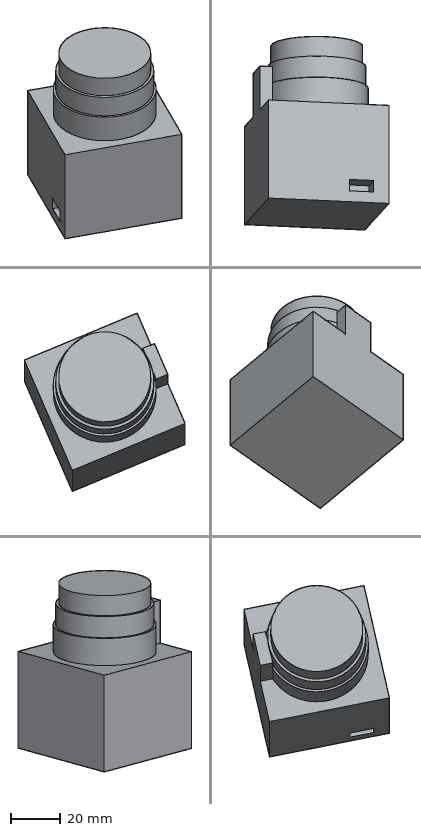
import cadquery as cq

body_side = 50.0
body_height = 41.0

lower_diameter = 42.0
lower_height = 11.5
middle_diameter = 40.0
middle_height = 9.0
total_height = 70.0
upper_diameter = 37.5
upper_height = total_height - body_height - lower_height - middle_height
head_steps = [
    (lower_diameter, lower_height),
    (middle_diameter, middle_height),
    (upper_diameter, upper_height),
]

tab_width = 14.0
tab_height = 18.2
tab_inner_x = -((lower_diameter / 2) ** 2 - (tab_width / 2) ** 2) ** 0.5

window_width = 10.0
window_height = 4.8
window_depth = 10.0
window_center_x = 13.6
window_bottom = 4.5


def make_body():
    return cq.Workplane("XY").box(body_side, body_side, body_height, centered=(True, True, False))


def add_head(part):
    base = body_height
    for diameter, height in head_steps:
        step = cq.Workplane("XY").workplane(offset=base).circle(diameter / 2).extrude(height)
        part = part.union(step)
        base += height
    return part


def make_tab():
    tab_thickness = body_side / 2 + tab_inner_x
    tab = cq.Workplane("XY").box(tab_thickness, tab_width, tab_height, centered=(False, True, False))
    return tab.translate((-body_side / 2, 0, body_height))


def make_window():
    window = cq.Workplane("XY").box(
        window_width, window_depth, window_height, centered=(True, False, False)
    )
    return window.translate((window_center_x, -body_side / 2, window_bottom))


result = add_head(make_body()).union(make_tab()).cut(make_window())